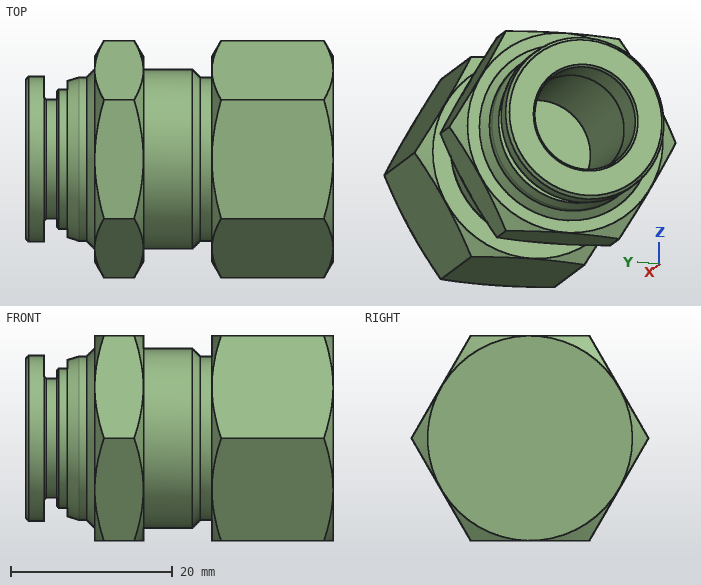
import cadquery as cq
import math

TOTAL_LENGTH = 38.0
ACROSS_FLATS = 25.4
CORNER_RADIUS = ACROSS_FLATS / math.sqrt(3)
HEX_CHAMFER_ANGLE = 30.0
HEX_FACE_DIAMETER = 25.3

BORE_DIAMETER = 13.0
BORE_CHAMFER = 0.25
FLANGE_DIAMETER = 20.5
FLANGE_CHAMFER = 0.38
FLANGE_END = 2.28
STEM_DIAMETER = 14.8
STEM_ROOT_CHAMFER = 0.23
SLEEVE_END = 4.95

COLLAR_DIAMETER = 17.3
COLLAR_START = 3.85
COLLAR_CHAMFER = 0.25
TAPER_START = 5.13
TAPER_END = 6.57
TAPER_START_DIAMETER = 19.35
NECK_DIAMETER = 20.25
THREAD_DIAMETER = 22.23
THREAD_CHAMFER = (THREAD_DIAMETER - NECK_DIAMETER) / 2
THREAD_END = 21.55
HEX_START = 23.0
BORE_DEPTH = 19.0

NUT_START = 8.5
NUT_END = 14.55
THREAD_START = NUT_START - THREAD_CHAMFER


def revolve_about_x(outline):
    """Revolve a closed outline of (x, radius) points about the X axis."""
    return cq.Workplane("XY").polyline(outline).close().revolve(360, (0, 0, 0), (1, 0, 0))


def bore(start, end, diameter):
    return cq.Workplane("YZ", origin=(start, 0, 0)).circle(diameter / 2).extrude(end - start)


def chamfered_hexagon(start, end):
    """Hexagon bar with corners at +Y and -Y and both ends turned conical."""
    face_radius = HEX_FACE_DIAMETER / 2
    chamfer_length = (CORNER_RADIUS - face_radius) * math.tan(math.radians(HEX_CHAMFER_ANGLE))
    hexagon = (
        cq.Workplane("YZ", origin=(start, 0, 0)).polygon(6, 2 * CORNER_RADIUS).extrude(end - start)
    )
    envelope = revolve_about_x([
        (start, 0),
        (start, face_radius),
        (start + chamfer_length, CORNER_RADIUS),
        (end - chamfer_length, CORNER_RADIUS),
        (end, face_radius),
        (end, 0),
    ])
    return hexagon.intersect(envelope)


def make_release_sleeve():
    bore_radius = BORE_DIAMETER / 2
    flange_radius = FLANGE_DIAMETER / 2
    stem_radius = STEM_DIAMETER / 2
    return revolve_about_x([
        (0, bore_radius + BORE_CHAMFER),
        (0, flange_radius - FLANGE_CHAMFER),
        (FLANGE_CHAMFER, flange_radius),
        (FLANGE_END, flange_radius),
        (FLANGE_END, stem_radius + STEM_ROOT_CHAMFER),
        (FLANGE_END + STEM_ROOT_CHAMFER, stem_radius),
        (SLEEVE_END, stem_radius),
        (SLEEVE_END, bore_radius),
        (BORE_CHAMFER, bore_radius),
    ])


def make_threaded_body():
    collar_radius = COLLAR_DIAMETER / 2
    neck_radius = NECK_DIAMETER / 2
    thread_radius = THREAD_DIAMETER / 2
    turned = revolve_about_x([
        (COLLAR_START, 0),
        (COLLAR_START, collar_radius - COLLAR_CHAMFER),
        (COLLAR_START + COLLAR_CHAMFER, collar_radius),
        (TAPER_START, collar_radius),
        (TAPER_START, TAPER_START_DIAMETER / 2),
        (TAPER_END, neck_radius),
        (THREAD_START, neck_radius),
        (NUT_START, thread_radius),
        (THREAD_END - THREAD_CHAMFER, thread_radius),
        (THREAD_END, neck_radius),
        (HEX_START, neck_radius),
        (HEX_START, 0),
    ])
    body = turned.union(chamfered_hexagon(HEX_START, TOTAL_LENGTH))
    sleeve_seat = bore(COLLAR_START, SLEEVE_END, STEM_DIAMETER)
    tube_socket = bore(COLLAR_START, BORE_DEPTH, BORE_DIAMETER)
    return body.cut(sleeve_seat).cut(tube_socket)


def make_bulkhead_nut():
    nut = chamfered_hexagon(NUT_START, NUT_END)
    return nut.cut(bore(NUT_START, NUT_END, THREAD_DIAMETER))


release_sleeve = make_release_sleeve()
threaded_body = make_threaded_body()
bulkhead_nut = make_bulkhead_nut()

result = cq.Compound.makeCompound([release_sleeve.val(), threaded_body.val(), bulkhead_nut.val()])